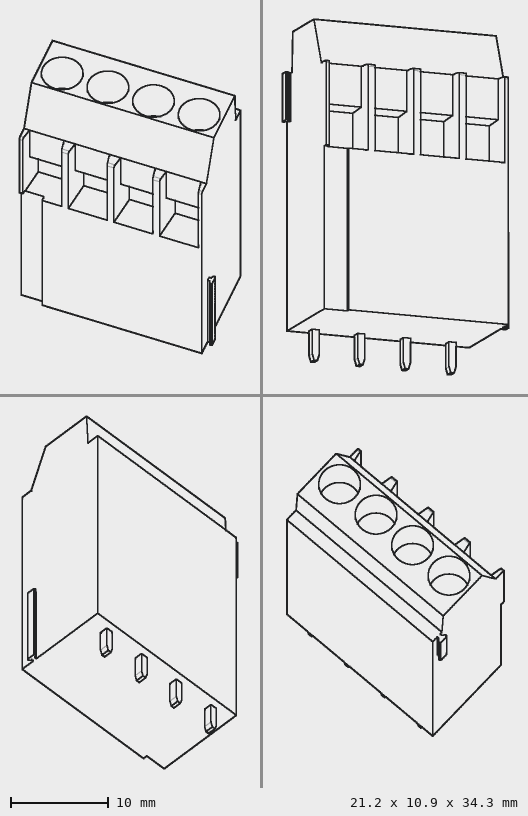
import cadquery as cq
import math

POLES = 4
OVERALL_WIDTH = 21.25
OVERALL_HEIGHT = 34.3
DEPTH = 10.95
WIDTH = 20.0
PITCH = WIDTH / POLES

PIN_LENGTH = 3.22
PIN_WIDTH = 0.8
PIN_THICKNESS = 0.93
PIN_TO_BACK = 0.8
TIP_WIDTH = 0.38
TIP_LENGTH = 0.65

HEIGHT = OVERALL_HEIGHT - PIN_LENGTH
RIB_DEPTH = 1.3
RIB_TOP = 26.05
RIB_ROUND = 0.25
SLOPE_TOP_Y = 3.4
BACK_STEP_DEPTH = 1.4
BACK_STEP_Z = 26.85
BACK_TOP_INSET = 1.6

SCREW_HOLE_DIAMETER = 4.25
SCREW_HOLE_Y = 5.65
SCREW_HOLE_DEPTH = HEIGHT - RIB_TOP

ENTRY_WIDTH = 4.25
ENTRY_FLOOR_Z = 16.98
ENTRY_STEP_Z = 21.75
ENTRY_DEPTH = 2.95
ENTRY_DRAFT = 10.5

NOTCH_WIDTH = PITCH / 2
NOTCH_DEPTH = 0.48
NOTCH_TOP = 17.1

LEFT_RAIL_PROJECTION = 0.7
RIGHT_RAIL_PROJECTION = OVERALL_WIDTH - WIDTH - LEFT_RAIL_PROJECTION
RAIL_HEAD_WIDTH = 1.03
RAIL_HEAD_THICKNESS = 0.2
RAIL_HEAD_BEVEL = 0.07
RAIL_NECK_WIDTH = 0.45
RAIL_NECK_LENGTH = 0.2
LEFT_RAIL_Y = DEPTH - 0.93
LEFT_RAIL_LENGTH = 5.05
RIGHT_RAIL_Y = 1.85
RIGHT_RAIL_LENGTH = 9.98

pole_xs = [PITCH * (i + 0.5) for i in range(POLES)]


def housing_block():
    """Side profile in YZ, extruded along X, with the top front edge rounded."""
    profile = [
        (0, 0),
        (DEPTH, 0),
        (DEPTH, BACK_STEP_Z),
        (DEPTH - BACK_STEP_DEPTH, BACK_STEP_Z),
        (DEPTH - BACK_TOP_INSET, HEIGHT),
        (SLOPE_TOP_Y, HEIGHT),
        (RIB_DEPTH, RIB_TOP),
        (0, RIB_TOP),
    ]
    block = cq.Workplane("YZ").polyline(profile).close().extrude(WIDTH)
    front_top_edge = cq.selectors.NearestToPointSelector((WIDTH / 2, 0, RIB_TOP))
    return block.edges(front_top_edge).fillet(RIB_ROUND)


def screw_hole(x):
    return (
        cq.Workplane("XY", origin=(x, SCREW_HOLE_Y, HEIGHT - SCREW_HOLE_DEPTH))
        .circle(SCREW_HOLE_DIAMETER / 2)
        .extrude(SCREW_HOLE_DEPTH)
    )


def wire_entry(x):
    """Drafted lower pocket joined to the shallow upper pocket between the ribs."""
    rib_inset = RIB_DEPTH * math.tan(math.radians(ENTRY_DRAFT))
    mouth_top = ENTRY_STEP_Z + rib_inset
    lower = (
        cq.Workplane("XZ", origin=(x, 0, (ENTRY_FLOOR_Z + mouth_top) / 2))
        .rect(ENTRY_WIDTH, mouth_top - ENTRY_FLOOR_Z)
        .extrude(-ENTRY_DEPTH, taper=ENTRY_DRAFT)
    )
    front_half = ENTRY_WIDTH / 2
    back_half = front_half - rib_inset
    upper = (
        cq.Workplane("XY", origin=(x, 0, ENTRY_STEP_Z))
        .polyline([(-front_half, 0), (front_half, 0), (back_half, RIB_DEPTH), (-back_half, RIB_DEPTH)])
        .close()
        .extrude(RIB_TOP - ENTRY_STEP_Z)
    )
    return lower.union(upper)


def corner_notch():
    return cq.Workplane("XY").box(NOTCH_WIDTH, NOTCH_DEPTH, NOTCH_TOP, centered=False)


def rail(x, y, z, length, projection, direction):
    """Dovetail rail rising from z and projecting from x toward direction (+1 or -1)."""
    neck = RAIL_NECK_WIDTH / 2
    head = RAIL_HEAD_WIDTH / 2
    half_profile = [
        (0, neck),
        (RAIL_NECK_LENGTH, neck),
        (projection - RAIL_HEAD_THICKNESS, head),
        (projection - RAIL_HEAD_BEVEL, head),
        (projection, head - RAIL_HEAD_BEVEL),
    ]
    mirrored_half = [(out, -side) for out, side in reversed(half_profile)]
    outline = [(direction * out, side) for out, side in half_profile + mirrored_half]
    return cq.Workplane("XY", origin=(x, y, z)).polyline(outline).close().extrude(length)


def make_housing():
    body = housing_block().cut(corner_notch())
    for x in pole_xs:
        body = body.cut(screw_hole(x)).cut(wire_entry(x))
    left_rail_z = BACK_STEP_Z - LEFT_RAIL_LENGTH
    left_rail = rail(0, LEFT_RAIL_Y, left_rail_z, LEFT_RAIL_LENGTH, LEFT_RAIL_PROJECTION, -1)
    right_rail = rail(WIDTH, RIGHT_RAIL_Y, 0, RIGHT_RAIL_LENGTH, RIGHT_RAIL_PROJECTION, 1)
    return body.union(left_rail).union(right_rail)


def make_pin(x):
    """Pin hanging from the underside of the housing."""
    half = PIN_WIDTH / 2
    tip_half = TIP_WIDTH / 2
    shoulder_z = TIP_LENGTH - PIN_LENGTH
    outline = [
        (-half, 0),
        (half, 0),
        (half, shoulder_z),
        (tip_half, -PIN_LENGTH),
        (-tip_half, -PIN_LENGTH),
        (-half, shoulder_z),
    ]
    return (
        cq.Workplane("XZ", origin=(x, DEPTH - PIN_TO_BACK, 0))
        .polyline(outline)
        .close()
        .extrude(PIN_THICKNESS)
    )


housing = make_housing()
pins = [make_pin(x) for x in pole_xs]

result = cq.Compound.makeCompound([housing.val(), *[pin.val() for pin in pins]])